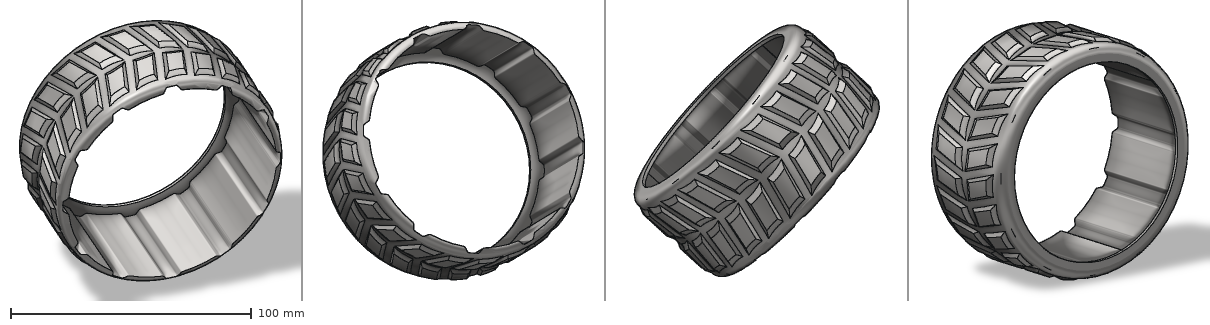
import cadquery as cq
import math

WIDTH = 50.0
TREAD_RADIUS = 51.5
BASE_RADIUS = 50.2
SHOULDER_RADIUS = 4.1

LIP_RADIUS = 42.6
LIP_THICKNESS = 1.5
SEAT_RADIUS = 46.4
GROOVE_COUNT = 12
GROOVE_RADIUS = 48.6
GROOVE_FLOOR_HALF_WIDTH = 2.5
GROOVE_MOUTH_HALF_WIDTH = 4.1
GROOVE_FILLET = 1.2

BLOCK_COUNT = 24
BLOCK_FOOT = [(1.8, -2.3), (20.5, -9.1), (19.4, 2.5), (0.6, 9.0)]
BLOCK_TOP = [(4.5, -1.7), (17.2, -5.9), (16.7, 2.0), (3.9, 6.6)]
BLOCK_PHASE = 7.5
BLOCK_ROOT_HEIGHT = 48.8
BLOCK_CAP_HEIGHT = 52.0


def make_carcass():
    """Plain rounded ring with the lip bore."""
    plane = cq.Workplane("YZ", origin=(-WIDTH / 2, 0, 0))
    ring = plane.circle(BASE_RADIUS).extrude(WIDTH)
    ring = ring.faces("<X or >X").edges().fillet(SHOULDER_RADIUS)
    lip_bore = plane.circle(LIP_RADIUS).extrude(WIDTH)
    return ring.cut(lip_bore)


def make_seat():
    """Volume removed from the bore: a cylinder with filleted axial grooves."""
    start = -WIDTH / 2 + LIP_THICKNESS
    plane = cq.Workplane("YZ", origin=(start, 0, 0))
    seat = plane.circle(SEAT_RADIUS).extrude(WIDTH)
    floor_edge = math.sqrt(GROOVE_RADIUS**2 - GROOVE_FLOOR_HALF_WIDTH**2)
    mouth_edge = math.sqrt(SEAT_RADIUS**2 - GROOVE_MOUTH_HALF_WIDTH**2)
    groove = (
        plane.moveTo(0, 0)
        .lineTo(mouth_edge, -GROOVE_MOUTH_HALF_WIDTH)
        .lineTo(floor_edge, -GROOVE_FLOOR_HALF_WIDTH)
        .threePointArc((GROOVE_RADIUS, 0), (floor_edge, GROOVE_FLOOR_HALF_WIDTH))
        .lineTo(mouth_edge, GROOVE_MOUTH_HALF_WIDTH)
        .close()
        .extrude(WIDTH)
    )
    for i in range(GROOVE_COUNT):
        seat = seat.union(groove.rotate((0, 0, 0), (1, 0, 0), i * 360 / GROOVE_COUNT))
    return seat.edges("|X").fillet(GROOVE_FILLET)


def block_section(height):
    """Block outline on the plane Z = height, following its four slanted corner edges."""
    points = []
    for (foot_x, foot_angle), (top_x, top_angle) in zip(BLOCK_FOOT, BLOCK_TOP):
        foot_y = BASE_RADIUS * math.sin(math.radians(foot_angle))
        foot_z = BASE_RADIUS * math.cos(math.radians(foot_angle))
        top_y = TREAD_RADIUS * math.sin(math.radians(top_angle))
        top_z = TREAD_RADIUS * math.cos(math.radians(top_angle))
        share = (height - foot_z) / (top_z - foot_z)
        points.append((foot_x + share * (top_x - foot_x), foot_y + share * (top_y - foot_y)))
    return points


def make_block():
    """One tapered tread block on the +X half, centred on the +Z direction."""
    block = (
        cq.Workplane("XY", origin=(0, 0, BLOCK_ROOT_HEIGHT))
        .polyline(block_section(BLOCK_ROOT_HEIGHT))
        .close()
        .workplane(offset=BLOCK_CAP_HEIGHT - BLOCK_ROOT_HEIGHT)
        .polyline(block_section(BLOCK_CAP_HEIGHT))
        .close()
        .loft(ruled=True)
    )
    envelope = cq.Workplane("YZ").circle(TREAD_RADIUS).extrude(WIDTH / 2)
    return block.intersect(envelope)


def make_tread():
    """Mirrored block pairs forming a ring of chevrons."""
    right_block = make_block()
    left_block = right_block.mirror("YZ")
    blocks = []
    for i in range(BLOCK_COUNT):
        angle = 90 - BLOCK_PHASE - i * 360 / BLOCK_COUNT
        for block in (right_block, left_block):
            blocks.append(block.rotate((0, 0, 0), (1, 0, 0), angle).val())
    return blocks


carcass = make_carcass().cut(make_seat())
result = cq.Workplane(carcass.val().fuse(*make_tread()))